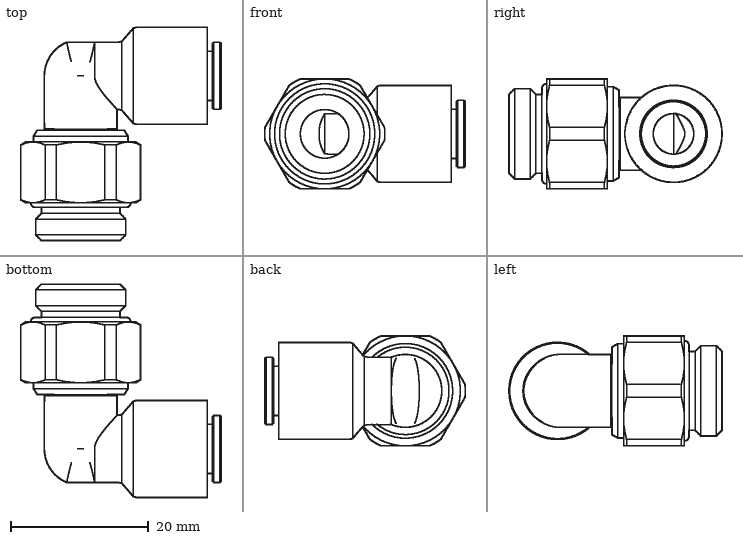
import cadquery as cq
import math

total_length = 31.0
sleeve_radius = 7.07
branch_y = total_length - sleeve_radius

thread_radius = 6.57
groove_radius = 5.75
thread_chamfer = thread_radius - groove_radius
thread_end = 3.1
groove_start = thread_end + thread_chamfer

seal_center_radius = 6.6
seal_thickness = 0.68

hex_start = 5.5
hex_end = 14.33
across_flats = 16.0
corner_radius = 8.75
hex_chamfer_length = 0.43

collar_radius = 6.88
collar_top_radius = 6.35
collar_edge = 15.15
collar_end = 16.03
neck_radius = 3.9
body_start = 16.2

elbow_radius = 5.3
arm_radius = 4.9
crown_drop = elbow_radius - arm_radius

arm_end = 5.45
cone_start = 6.0
cone_start_radius = 5.02
cone_end = 7.65
cone_end_radius = 6.95
sleeve_start = 8.1
sleeve_end = 18.42
collet_radius = 3.6
flange_radius = 4.9
flange_start = 19.15
collet_end = 20.47
flange_chamfer = 0.22

main_bore_radius = 3.55
branch_bore_radius = 2.95
tip_slope = math.tan(math.radians(31))


def turn_about_main_axis(profile):
    """Revolve an XY profile of (radius, Y) about the Y axis."""
    return profile.close().revolve(360, (0, 0, 0), (0, 1, 0))


def turn_about_branch_axis(profile):
    """Revolve an XY profile about the branch axis; profile Y is the radius."""
    ring = profile.close().revolve(360, (0, 0, 0), (1, 0, 0))
    return ring.translate((0, branch_y, 0))


def along_main_axis(start):
    """Workplane at Y = start whose normal points along +Y."""
    return cq.Workplane("XZ", origin=(0, start, 0)).transformed(rotate=(180, 0, 0))


def make_threaded_end():
    profile = (
        cq.Workplane("XY")
        .lineTo(groove_radius, 0)
        .lineTo(thread_radius, thread_chamfer)
        .lineTo(thread_radius, thread_end)
        .lineTo(groove_radius, groove_start)
        .lineTo(groove_radius, hex_start)
        .lineTo(0, hex_start)
    )
    return turn_about_main_axis(profile)


def make_sealing_ring():
    profile = (
        cq.Workplane("XY")
        .moveTo(seal_center_radius - seal_thickness, hex_start)
        .threePointArc(
            (seal_center_radius, hex_start - seal_thickness),
            (seal_center_radius + seal_thickness, hex_start),
        )
    )
    return turn_about_main_axis(profile)


def make_hexagon():
    corner_diameter = across_flats / math.cos(math.pi / 6)
    prism = along_main_axis(hex_start).polygon(6, corner_diameter).extrude(hex_end - hex_start)
    envelope = (
        along_main_axis(hex_start)
        .circle(corner_radius)
        .extrude(hex_end - hex_start)
        .faces("<Y or >Y")
        .chamfer(hex_chamfer_length, corner_radius - across_flats / 2)
    )
    return prism.intersect(envelope)


def make_collar():
    profile = (
        cq.Workplane("XY")
        .moveTo(0, hex_end)
        .lineTo(collar_radius, hex_end)
        .lineTo(collar_radius, collar_edge)
        .lineTo(collar_top_radius, collar_end)
        .lineTo(neck_radius, collar_end)
        .lineTo(neck_radius, body_start)
        .lineTo(0, body_start)
    )
    return turn_about_main_axis(profile)


def make_elbow_body():
    column = along_main_axis(body_start).circle(elbow_radius).extrude(branch_y - body_start)
    sphere = cq.Workplane("XY").sphere(elbow_radius).translate((0, branch_y, 0))
    crown = (
        cq.Workplane("YZ", origin=(0, branch_y - crown_drop, 0))
        .circle(elbow_radius)
        .extrude(elbow_radius, both=True)
    )
    upper_half = along_main_axis(branch_y).circle(elbow_radius).extrude(elbow_radius)
    dome = sphere.intersect(upper_half).intersect(crown)
    return column.union(dome)


def make_branch():
    profile = (
        cq.Workplane("XY")
        .lineTo(0, arm_radius)
        .lineTo(arm_end, arm_radius)
        .lineTo(cone_start, cone_start_radius)
        .lineTo(cone_end, cone_end_radius)
        .lineTo(sleeve_start, sleeve_radius)
        .lineTo(sleeve_end, sleeve_radius)
        .lineTo(sleeve_end, collet_radius)
        .lineTo(flange_start, collet_radius)
        .lineTo(flange_start, flange_radius - flange_chamfer)
        .lineTo(flange_start + flange_chamfer, flange_radius)
        .lineTo(collet_end - flange_chamfer, flange_radius)
        .lineTo(collet_end, flange_radius - flange_chamfer)
        .lineTo(collet_end, 0)
    )
    return turn_about_branch_axis(profile)


def make_main_bore():
    profile = (
        cq.Workplane("XY")
        .lineTo(main_bore_radius, 0)
        .lineTo(main_bore_radius, branch_y)
        .lineTo(0, branch_y + main_bore_radius * tip_slope)
    )
    return turn_about_main_axis(profile)


def make_branch_bore():
    profile = (
        cq.Workplane("XY")
        .moveTo(-branch_bore_radius * tip_slope, 0)
        .lineTo(0, branch_bore_radius)
        .lineTo(collet_end, branch_bore_radius)
        .lineTo(collet_end, 0)
    )
    return turn_about_branch_axis(profile)


result = (
    make_threaded_end()
    .union(make_hexagon())
    .union(make_sealing_ring())
    .union(make_collar())
    .union(make_elbow_body())
    .union(make_branch())
    .cut(make_main_bore())
    .cut(make_branch_bore())
)